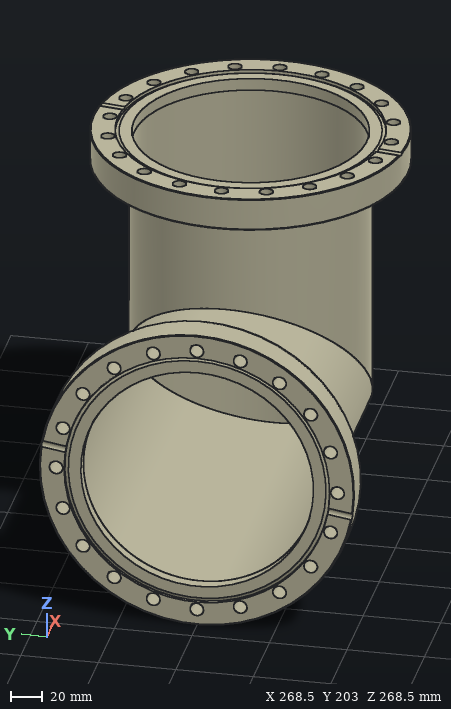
import cadquery as cq
import math


OVERALL_LENGTH = 268.5
FLANGE_DIAMETER = 203.0
FLANGE_THICKNESS = 22.0
BACK_CHAMFER = 1.0
FACE_CHAMFER = 0.5
FACE_OFFSET = OVERALL_LENGTH - FLANGE_DIAMETER / 2

BORE_DIAMETER = 150.0
TUBE_DIAMETER = 154.0
SOCKET_DIAMETER = 154.5
SHOULDER_DEPTH = 9.0

RECESS_DIAMETER = 171.3
KNIFE_DIAMETER = 166.2
KNIFE_DEPTH = 1.0
RECESS_DEPTH = 2.5

BOLT_COUNT = 20
BOLT_CIRCLE_DIAMETER = 181.5
BOLT_HOLE_DIAMETER = 8.5

GROOVE_WIDTH = 4.3
GROOVE_DEPTH = 1.0
GROOVE_ANGLE = 90 - 360 / BOLT_COUNT / 2


def make_flange_blank():
    """Revolve the flange section about Z, with the sealing face upward."""
    back = FACE_OFFSET - FLANGE_THICKNESS
    shoulder = FACE_OFFSET - SHOULDER_DEPTH
    knife = FACE_OFFSET - KNIFE_DEPTH
    recess_floor = FACE_OFFSET - RECESS_DEPTH
    section = [
        (SOCKET_DIAMETER / 2, back),
        (FLANGE_DIAMETER / 2 - BACK_CHAMFER, back),
        (FLANGE_DIAMETER / 2, back + BACK_CHAMFER),
        (FLANGE_DIAMETER / 2, FACE_OFFSET - FACE_CHAMFER),
        (FLANGE_DIAMETER / 2 - FACE_CHAMFER, FACE_OFFSET),
        (RECESS_DIAMETER / 2, FACE_OFFSET),
        (RECESS_DIAMETER / 2, recess_floor),
        (KNIFE_DIAMETER / 2, knife),
        (BORE_DIAMETER / 2, knife),
        (BORE_DIAMETER / 2, shoulder),
        (SOCKET_DIAMETER / 2, shoulder),
    ]
    return cq.Workplane("XZ").polyline(section).close().revolve(360, (0, 0), (0, 1))


def make_bolt_holes():
    """Cutters for the through holes on the bolt circle."""
    return (
        cq.Workplane("XY", origin=(0, 0, FACE_OFFSET))
        .polarArray(BOLT_CIRCLE_DIAMETER / 2, 0, 360, BOLT_COUNT)
        .circle(BOLT_HOLE_DIAMETER / 2)
        .extrude(-FLANGE_THICKNESS)
    )


def make_leak_groove(angle):
    """Cylindrical cutter running radially from the gasket recess to the rim."""
    radius = (GROOVE_WIDTH**2 / 4 + GROOVE_DEPTH**2) / (2 * GROOVE_DEPTH)
    axis_height = FACE_OFFSET + radius - GROOVE_DEPTH
    start = KNIFE_DIAMETER / 4 + RECESS_DIAMETER / 4
    direction = cq.Vector(math.cos(math.radians(angle)), math.sin(math.radians(angle)), 0)
    origin = direction * start + cq.Vector(0, 0, axis_height)
    length = FLANGE_DIAMETER / 2 - start + radius
    return cq.Workplane(cq.Solid.makeCylinder(radius, length, origin, direction))


def make_flange():
    """Complete flange on the +Z leg."""
    flange = make_flange_blank().cut(make_bolt_holes())
    for angle in (GROOVE_ANGLE, GROOVE_ANGLE + 180):
        flange = flange.cut(make_leak_groove(angle))
    return flange


def make_tube():
    """Tube of the +Z leg, mitred on the plane z = -x."""
    top = FACE_OFFSET - SHOULDER_DEPTH
    radius = TUBE_DIAMETER / 2
    miter_block = (
        cq.Workplane("XZ")
        .polyline([(-radius, radius), (radius, -radius), (radius, top), (-radius, top)])
        .close()
        .extrude(radius, both=True)
    )
    pipe = (
        cq.Workplane("XY", origin=(0, 0, -radius))
        .circle(radius)
        .circle(BORE_DIAMETER / 2)
        .extrude(top + radius)
    )
    return pipe.intersect(miter_block)


LEGS = 2
flanges = []
tubes = []
for leg in range(LEGS):
    flanges.append(make_flange().rotate((0, 0, 0), (0, 1, 0), -90 * leg))
    tubes.append(make_tube().rotate((0, 0, 0), (-1, 0, 1), 180 * leg))

result = cq.Compound.makeCompound([body.solids().val() for body in flanges + tubes])